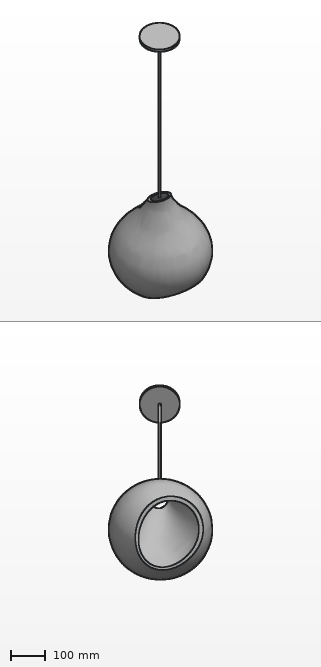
import cadquery as cq
import math

TOTAL_HEIGHT = 961.0
HANGING_X = -4.0

CANOPY_DIAMETER = 115.0
CANOPY_THICKNESS = 10.0
CANOPY_BOTTOM = TOTAL_HEIGHT - CANOPY_THICKNESS

CORD_DIAMETER = 8.0
CORD_BOTTOM = 344.0

BULB_RADIUS = 149.0
WALL = 8.0
TRIM_ANGLE = 25.5
LOWER_TIP_X = -59.0
UPPER_TRIM_HEIGHT = 346.0
BULB_PROFILE = [
    (48.0, -12.5),
    (85.5, 28.0),
    (127.0, 74.0),
    (BULB_RADIUS, 140.0),
    (132.0, 201.0),
    (76.0, 270.0),
    (44.0, 317.0),
    (26.0, 384.0),
]
TRIM_BLOCK_SIZE = 4 * BULB_RADIUS


def make_disc(diameter, bottom, top):
    """Upright cylinder on the hanging axis."""
    return (
        cq.Workplane("XY", origin=(HANGING_X, 0, bottom))
        .circle(diameter / 2)
        .extrude(top - bottom)
    )


def make_trim_block():
    """Sloping slab that keeps the part of the bulb between the two trims."""
    slope = math.radians(TRIM_ANGLE)
    lower_trim_height = -LOWER_TIP_X * math.tan(slope)
    slab_thickness = (UPPER_TRIM_HEIGHT - lower_trim_height) * math.cos(slope)
    return (
        cq.Workplane("XY")
        .box(TRIM_BLOCK_SIZE, TRIM_BLOCK_SIZE, slab_thickness, centered=(True, True, False))
        .rotate((0, 0, 0), (0, 1, 0), -TRIM_ANGLE)
        .translate((0, 0, lower_trim_height))
    )


def make_shade():
    """Thin-walled bulb, open at both sloping ends."""
    bottom = BULB_PROFILE[0][1]
    top = BULB_PROFILE[-1][1]
    bulb = (
        cq.Workplane("XZ")
        .moveTo(0, bottom)
        .lineTo(*BULB_PROFILE[0])
        .spline(BULB_PROFILE[1:], includeCurrent=True)
        .lineTo(0, top)
        .close()
        .revolve(360, (0, 0, 0), (0, 1, 0))
    )
    open_bulb = bulb.faces("<Z or >Z").shell(-WALL)
    return open_bulb.intersect(make_trim_block())


canopy = make_disc(CANOPY_DIAMETER, CANOPY_BOTTOM, TOTAL_HEIGHT)
cord = make_disc(CORD_DIAMETER, CORD_BOTTOM, CANOPY_BOTTOM)
shade = make_shade()

result = cq.Compound.makeCompound([canopy.val(), cord.val(), *shade.solids().vals()])